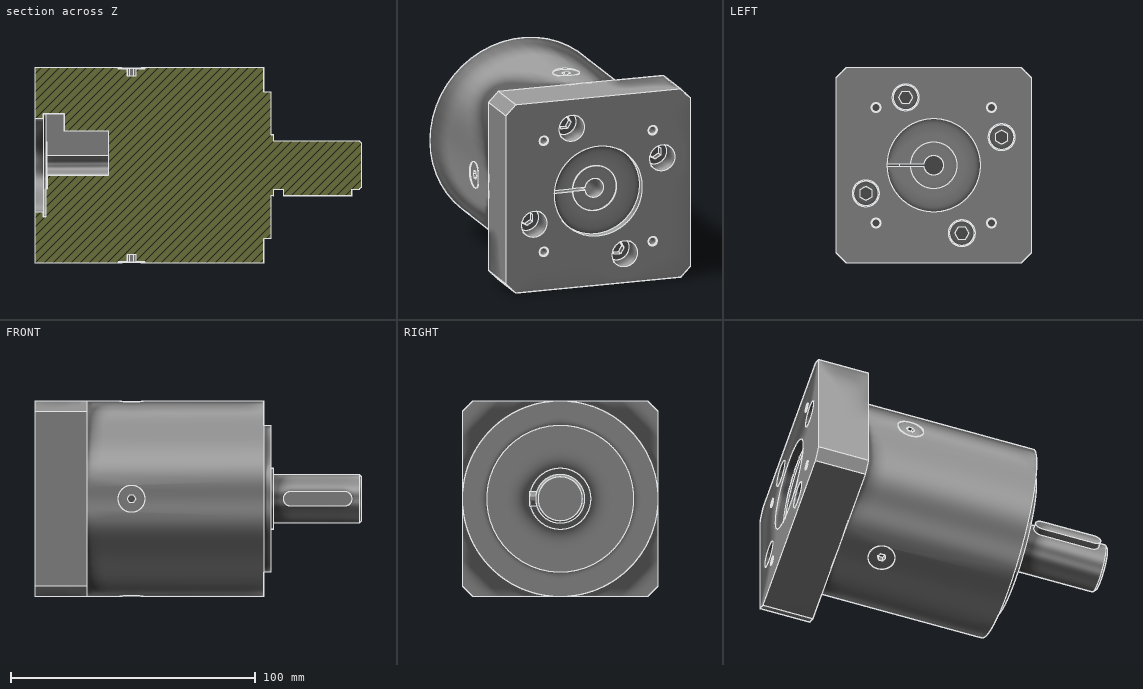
import cadquery as cq
import math


plate_thickness = 21.4
body_end = 93.5
pilot_length = 3.0
collar_length = 1.0
total_length = 133.5

plate_size = 80.0
plate_chamfer = 4.3
body_diameter = plate_size
pilot_diameter = 60.0
collar_diameter = 25.0

shaft_diameter = 20.0
shaft_chamfer = 1.0
key_length = 28.0
key_width = 6.0
key_start = 101.5
key_top_radius = 12.5
key_seat_depth = 3.5
key_seat_radius = shaft_diameter / 2 - key_seat_depth

recess_diameter = 38.1
recess_mouth_depth = 3.5
recess_depth = 4.5
undercut_diameter = 42.0
hub_diameter = 19.0
hub_sink = 0.5
bore_diameter = 8.0
bore_depth = 30.0
slit_width = 1.2
slit_step_radius = 13.9
slit_outer_depth = 12.0

motor_hole_spacing = 47.14
motor_hole_diameter = 3.3
motor_hole_mouth = 4.0
motor_hole_depth = 12.0

screw_circle_radius = 30.0
screw_count = 4
screw_first_angle = -22.5
screw_socket_corner_angle = 90.0
counterbore_diameter = 11.0
counterbore_depth = 15.0
screw_head_diameter = 10.0
screw_head_height = 6.0
screw_socket_across_flats = 5.0
screw_socket_depth = 3.0

plug_count = 4
plug_position = 39.5
plug_diameter = 11.0
plug_flat_radius = 39.5
plug_socket_across_flats = 3.0
plug_socket_depth = 3.0


def disc(diameter, start, length, y=0.0, z=0.0):
    """Cylinder along X that begins at X = start, centred on (y, z)."""
    return cq.Workplane("YZ", origin=(start, y, z)).circle(diameter / 2).extrude(length)


def hexagon_diameter(across_flats):
    """Diameter over the corners of a hexagon."""
    return across_flats / math.cos(math.pi / 6)


def make_housing():
    plate = cq.Workplane("YZ").rect(plate_size, plate_size).extrude(plate_thickness)
    plate = plate.edges("|X").chamfer(plate_chamfer)
    body = disc(body_diameter, plate_thickness, body_end - plate_thickness)
    pilot = disc(pilot_diameter, body_end, pilot_length)
    collar = disc(collar_diameter, body_end + pilot_length, collar_length)
    return plate.union(body).union(pilot).union(collar)


def make_shaft():
    shaft = disc(shaft_diameter, body_end, total_length - body_end)
    return shaft.faces(">X").edges().chamfer(shaft_chamfer)


def make_key():
    """Feather key on the -Y side of the shaft."""
    key_center = key_start + key_length / 2
    seat = cq.Workplane("XZ", origin=(key_center, -key_seat_radius, 0))
    return seat.slot2D(key_length, key_width).extrude(key_top_radius - key_seat_radius)


def make_slit(outer_radius, end):
    """Radial slit from the axis towards +Y, sunk from the recess floor to X = end."""
    slit = cq.Workplane("XY", origin=(recess_depth, 0, 0))
    return slit.box(end - recess_depth, outer_radius, slit_width, centered=(False, False, True))


def cut_motor_side(part):
    part = part.cut(disc(recess_diameter, 0, recess_depth))
    part = part.cut(disc(undercut_diameter, recess_mouth_depth, recess_depth - recess_mouth_depth))
    part = part.cut(disc(hub_diameter, recess_depth, hub_sink))
    part = part.cut(disc(bore_diameter, 0, bore_depth))
    part = part.cut(make_slit(slit_step_radius, bore_depth))
    return part.cut(make_slit(undercut_diameter / 2, slit_outer_depth))


def cut_motor_holes(part):
    half_spacing = motor_hole_spacing / 2
    hole_radius = motor_hole_diameter / 2
    mouth_radius = motor_hole_mouth / 2
    mouth_depth = mouth_radius - hole_radius
    for y in (-half_spacing, half_spacing):
        for z in (-half_spacing, half_spacing):
            hole = disc(motor_hole_diameter, 0, motor_hole_depth, y, z)
            mouth = cq.Solid.makeCone(
                mouth_radius, hole_radius, mouth_depth, pnt=cq.Vector(0, y, z), dir=cq.Vector(1, 0, 0)
            )
            part = part.cut(hole).cut(cq.Workplane(mouth))
    return part


def make_screw_pocket():
    """Counterbore on +Y with the socket head screw left standing inside it."""
    head_top = counterbore_depth - screw_head_height
    well = disc(counterbore_diameter, 0, counterbore_depth, screw_circle_radius)
    head = disc(screw_head_diameter, head_top, screw_head_height, screw_circle_radius)
    socket = (
        cq.Workplane("YZ", origin=(head_top, screw_circle_radius, 0))
        .polygon(6, hexagon_diameter(screw_socket_across_flats))
        .extrude(screw_socket_depth)
    )
    socket_turn = screw_socket_corner_angle - screw_first_angle
    socket = socket.rotate((0, screw_circle_radius, 0), (1, screw_circle_radius, 0), socket_turn)
    return well.cut(head).union(socket)


def cut_screw_pockets(part):
    pocket = make_screw_pocket()
    for i in range(screw_count):
        angle = screw_first_angle + i * 360 / screw_count
        part = part.cut(pocket.rotate((0, 0, 0), (1, 0, 0), angle))
    return part


def cut_plugs(part):
    flat = cq.Workplane("XY", origin=(plug_position, 0, plug_flat_radius))
    spot_face = flat.circle(plug_diameter / 2).extrude(body_diameter / 2)
    socket = flat.polygon(6, hexagon_diameter(plug_socket_across_flats)).extrude(-plug_socket_depth)
    plug_cut = spot_face.union(socket)
    for i in range(plug_count):
        part = part.cut(plug_cut.rotate((0, 0, 0), (1, 0, 0), i * 360 / plug_count))
    return part


gearbox = make_housing().union(make_shaft()).union(make_key())
gearbox = cut_motor_side(gearbox)
gearbox = cut_motor_holes(gearbox)
gearbox = cut_screw_pockets(gearbox)
result = cut_plugs(gearbox)